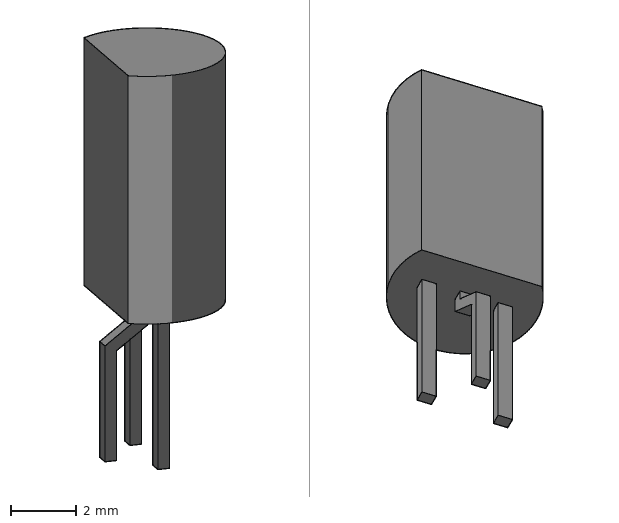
import cadquery as cq
import math

body_radius = 2.41
body_height = 8.0
flat_offset = 1.34

lead_length = 5.0
lead_pitch = 1.27
lead_width = 0.48
lead_thickness = 0.38
jog_offset = lead_pitch
jog_angle = math.radians(35.5)
jog_start_depth = 0.35


def make_body():
    """Extrude the D-shaped section upwards from the body underside."""
    half_flat = math.sqrt(body_radius**2 - flat_offset**2)
    return (
        cq.Workplane("XY")
        .moveTo(-half_flat, -flat_offset)
        .lineTo(half_flat, -flat_offset)
        .threePointArc((0, body_radius), (-half_flat, -flat_offset))
        .close()
        .extrude(body_height)
    )


def make_straight_lead(x):
    """Straight pin hanging from the body underside, centred on Y = 0."""
    return (
        cq.Workplane("XY")
        .center(x, 0)
        .rect(lead_width, lead_thickness)
        .extrude(-lead_length)
    )


def make_jogged_lead():
    """Middle pin: short drop, sloped stretch, then a drop to the tip."""
    half_thickness = lead_thickness / 2
    slope_drop = jog_offset * math.tan(jog_angle)
    mitre_drop = lead_thickness * math.tan(math.pi / 4 - jog_angle / 2)
    front_top = -jog_start_depth
    front_bottom = front_top - slope_drop
    back_top = front_top - mitre_drop
    back_bottom = front_bottom - mitre_drop
    outline = [
        (half_thickness, 0),
        (-half_thickness, 0),
        (-half_thickness, front_top),
        (-half_thickness - jog_offset, front_bottom),
        (-half_thickness - jog_offset, -lead_length),
        (half_thickness - jog_offset, -lead_length),
        (half_thickness - jog_offset, back_bottom),
        (half_thickness, back_top),
    ]
    return cq.Workplane("YZ").polyline(outline).close().extrude(lead_width / 2, both=True)


result = make_body().union(make_jogged_lead())
for side in (-1, 1):
    result = result.union(make_straight_lead(side * lead_pitch))